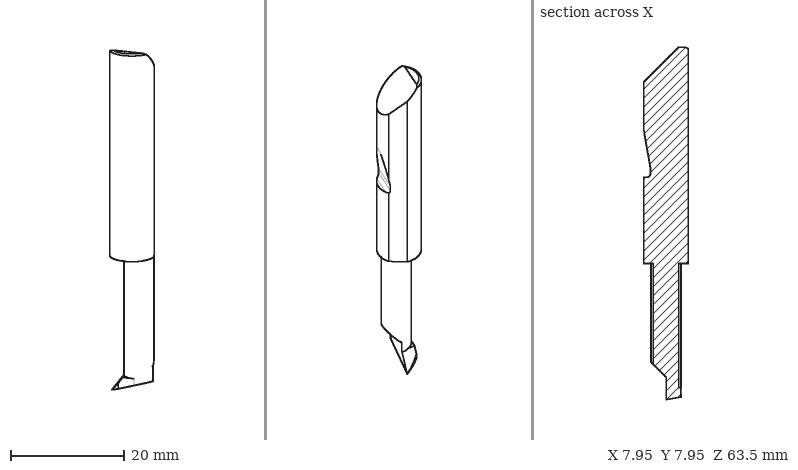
import cadquery as cq
import math

total_length = 63.5
shank_diameter = 7.95
shank_radius = shank_diameter / 2
shank_bottom = 25.3

end_chamfer_width = 0.45
end_chamfer_height = 0.25
end_bevel_start_y = -2.2
end_bevel_angle = 45.0

flat_direction = 155.0
flat_distance = 3.6

notch_depth = 1.2
notch_bottom = 40.5
notch_top = 48.9
notch_floor_height = 1.6
notch_corner_radius = 0.65

neck_radius = 2.65
neck_center_x = shank_radius - neck_radius
half_round_top = 7.9

tip_x = -3.8
tooth_height = 3.35
tooth_back_corner_x = -1.65
tooth_wall_radius = 12.7
end_edge_slope = 0.31
end_edge_relief = 0.18
flank_slope = 1.33
flank_relief = 0.25

cut_size = 3 * total_length


def half_space(origin, x_direction, outward):
    """Block lying on the outward side of a plane."""
    plane = cq.Plane(origin=origin, xDir=x_direction, normal=outward)
    return cq.Workplane(plane).rect(cut_size, cut_size).extrude(cut_size)


def side_prism(points):
    """Closed YZ polygon extruded through the whole width in X."""
    return cq.Workplane("YZ").polyline(points).close().extrude(cut_size / 2, both=True)


def make_shank():
    shank = (
        cq.Workplane("XY")
        .workplane(offset=shank_bottom)
        .circle(shank_radius)
        .extrude(total_length - shank_bottom)
        .faces(">Z")
        .chamfer(end_chamfer_height, end_chamfer_width)
    )
    bevel_drop = cut_size * math.tan(math.radians(end_bevel_angle))
    bevel = side_prism([
        (end_bevel_start_y, total_length),
        (end_bevel_start_y + cut_size, total_length),
        (end_bevel_start_y + cut_size, total_length - bevel_drop),
    ])
    angle = math.radians(flat_direction)
    flat_normal = (math.cos(angle), math.sin(angle), 0)
    flat_origin = (flat_distance * flat_normal[0], flat_distance * flat_normal[1], 0)
    flat = half_space(flat_origin, (0, 0, 1), flat_normal)
    return shank.cut(bevel).cut(flat).cut(make_notch())


def make_notch():
    """Sloping seat with a short floor and a rounded lower corner."""
    floor_y = shank_radius - notch_depth
    return (
        cq.Workplane("YZ")
        .moveTo(shank_radius, notch_bottom)
        .lineTo(floor_y + notch_corner_radius, notch_bottom)
        .radiusArc((floor_y, notch_bottom + notch_corner_radius), notch_corner_radius)
        .lineTo(floor_y, notch_bottom + notch_floor_height)
        .lineTo(shank_radius, notch_top)
        .close()
        .extrude(cut_size / 2, both=True)
    )


def make_neck():
    neck = cq.Workplane("XY").center(neck_center_x, 0).circle(neck_radius).extrude(shank_bottom)
    rake_side_cut = side_prism([
        (0, 0),
        (0, half_round_top - neck_radius),
        (neck_radius, half_round_top),
        (neck_radius, 0),
    ])
    return neck.cut(rake_side_cut)


def make_tooth():
    tooth = (
        cq.Workplane("XY")
        .moveTo(tip_x, 0)
        .radiusArc((tooth_back_corner_x, -neck_radius), -tooth_wall_radius)
        .lineTo(neck_center_x, -neck_radius)
        .lineTo(neck_center_x, 0)
        .close()
        .extrude(tooth_height)
    )
    flank = half_space((tip_x, 0, 0), (1, 0, flank_slope), (-flank_slope, -flank_relief, 1))
    return tooth.cut(flank)


def make_end_relief():
    return half_space((tip_x, 0, 0), (1, 0, end_edge_slope), (end_edge_slope, -end_edge_relief, -1))


result = make_shank().union(make_neck()).union(make_tooth()).cut(make_end_relief())